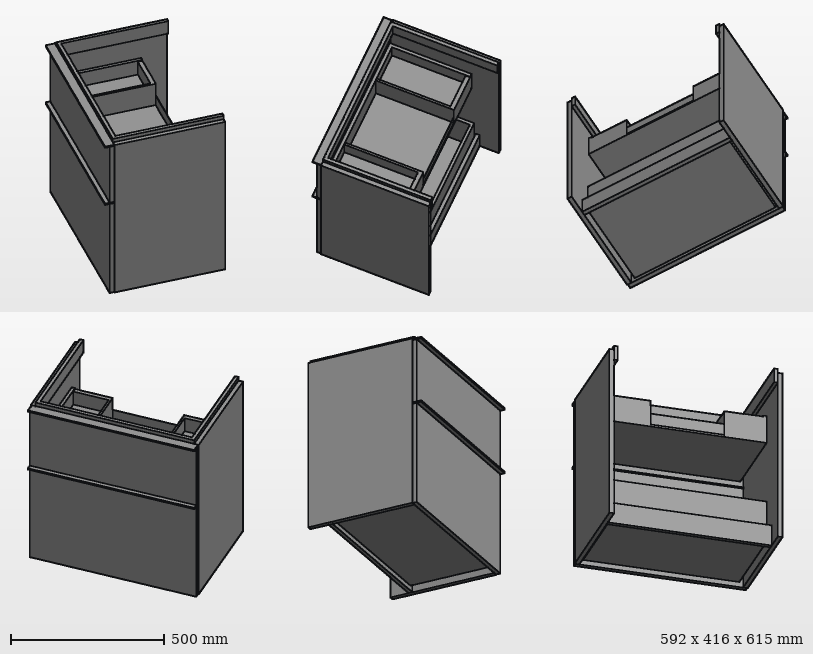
import cadquery as cq

width = 592.0
height = 615.0
carcass_depth = 384.0
side_thickness = 16.0
rail_thickness = 13.0
rail_height = 50.5
rail_rise = 14.0
side_height = height - rail_rise

front_gap = 2.5
front_thickness = 16.0
grip_depth = 32.0
grip_thickness = 5.5
lower_front_height = 363.0
front_width = width - 2 * front_gap

half_inside_sides = width / 2 - side_thickness
half_inside_rail = half_inside_sides - rail_thickness
front_inner_y = -carcass_depth + rail_thickness

back_rail_y = -67.5
back_rail_thickness = 14.0
back_rail_height = 74.0
lower_drawer_base_z = 18.5
lower_drawer_height = 147.5
lower_drawer_wall = 11.0
lower_drawer_rear_y = back_rail_y - back_rail_thickness

drawer_rear_y = lower_drawer_rear_y - lower_drawer_wall
drawer_side_wall = 11.5
half_inside_drawer = 259.0
half_drawer_width = half_inside_drawer + drawer_side_wall
drawer_wall = 8.0
drawer_base_z = 387.5
drawer_floor_z = drawer_base_z + drawer_wall
drawer_side_top = 486.0
compartment_top = 482.0
compartment_floor_z = 430.0
compartment_back_thickness = 16.0
well_half_width = 126.0
back_lip_thickness = 0.9
back_lip_top = 435.0


def block(x_min, x_max, y_min, y_max, z_min, z_max):
    """Rectangular block between the given limits."""
    return cq.Workplane("XY").box(
        x_max - x_min, y_max - y_min, z_max - z_min, centered=False
    ).translate((x_min, y_min, z_min))


def side_panel(hand):
    """Upright side; hand is -1 for left and 1 for right."""
    inner, outer = sorted((hand * half_inside_sides, hand * width / 2))
    return block(inner, outer, -carcass_depth, 0, 0, side_height)


def make_top_rail():
    """U-shaped rail along both sides and the front, open at the rear."""
    rail_bottom = height - rail_height
    outer = block(-half_inside_sides, half_inside_sides, -carcass_depth, 0, rail_bottom, height)
    opening = block(-half_inside_rail, half_inside_rail, front_inner_y, 0, rail_bottom, height)
    return outer.cut(opening)


def drawer_front(z_min, z_max):
    """Flat front panel of a drawer."""
    front_face_y = -carcass_depth - front_thickness
    return block(-front_width / 2, front_width / 2, front_face_y, -carcass_depth, z_min, z_max)


def grip_strip(z_top):
    """Thin strip projecting above a drawer front."""
    grip_face_y = -carcass_depth - grip_depth
    return block(
        -front_width / 2, front_width / 2, grip_face_y, -carcass_depth, z_top - grip_thickness, z_top
    )


def make_back_rail():
    """Low cross rail joining the two sides at the rear."""
    return block(
        -half_inside_sides, half_inside_sides, lower_drawer_rear_y, back_rail_y, 0, back_rail_height
    )


def make_lower_drawer():
    """Plain open box with equal walls and floor."""
    wall = lower_drawer_wall
    top = lower_drawer_base_z + lower_drawer_height
    outer = block(
        -half_inside_rail, half_inside_rail, -carcass_depth, lower_drawer_rear_y, lower_drawer_base_z, top
    )
    hollow = block(
        -half_inside_rail + wall,
        half_inside_rail - wall,
        -carcass_depth + wall,
        lower_drawer_rear_y - wall,
        lower_drawer_base_z + wall,
        top,
    )
    return outer.cut(hollow)


def make_upper_drawer():
    """Drawer with a deep centre well between two compartments with raised floors."""
    drawer = block(
        -half_drawer_width, half_drawer_width, -carcass_depth, drawer_rear_y, drawer_base_z, drawer_side_top
    )
    above_compartments = block(
        -half_inside_drawer, half_inside_drawer, front_inner_y, drawer_rear_y, compartment_top, drawer_side_top
    )
    well = block(
        -well_half_width,
        well_half_width,
        front_inner_y,
        drawer_rear_y - back_lip_thickness,
        drawer_floor_z,
        compartment_top,
    )
    above_back_lip = block(
        -well_half_width, well_half_width, front_inner_y, drawer_rear_y, back_lip_top, compartment_top
    )
    drawer = drawer.cut(above_compartments).cut(well).cut(above_back_lip)
    for hand in (-1, 1):
        x_min, x_max = sorted((hand * (well_half_width + drawer_wall), hand * half_inside_drawer))
        compartment = block(
            x_min,
            x_max,
            front_inner_y,
            drawer_rear_y - compartment_back_thickness,
            compartment_floor_z,
            compartment_top,
        )
        drawer = drawer.cut(compartment)
    return drawer


side_panels = [side_panel(hand) for hand in (-1, 1)]
top_rail = make_top_rail()
back_rail = make_back_rail()
upper_drawer = make_upper_drawer()
lower_drawer = make_lower_drawer()

lower_grip_top = lower_front_height + grip_thickness
front_spans = ((0, lower_front_height), (lower_grip_top, side_height - grip_thickness))
drawer_fronts = [drawer_front(z_min, z_max) for z_min, z_max in front_spans]
grip_strips = [grip_strip(z_top) for z_top in (lower_grip_top, side_height)]

bodies = [
    *side_panels, top_rail, back_rail, upper_drawer, lower_drawer, *drawer_fronts, *grip_strips
]
result = cq.Compound.makeCompound([body.val() for body in bodies])